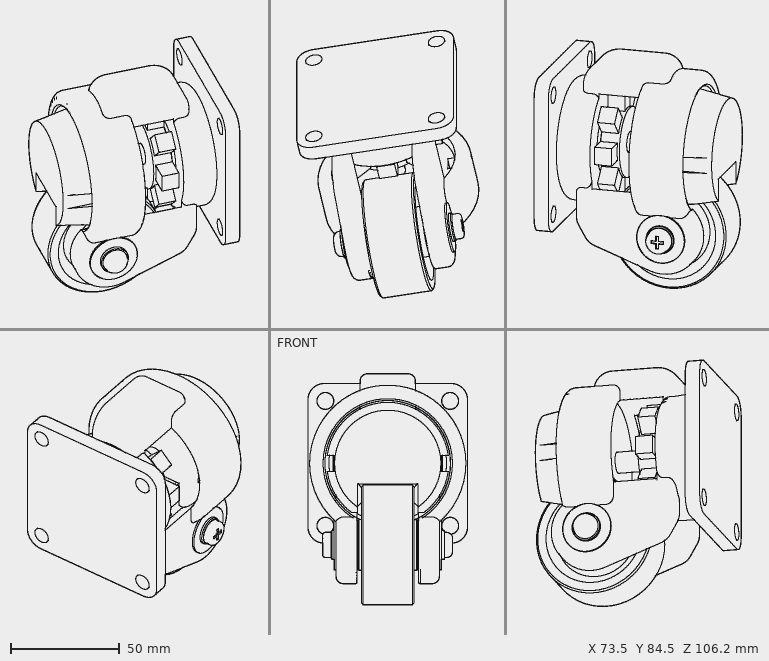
import cadquery as cq
import math


overall_height = 106.2

plate_size = 73.5
plate_thickness = 6.9
plate_corner_radius = 7.6
plate_hole_offset = 28.7
plate_hole_radius = 3.8
boss_radius = 15.8

edge_round = 3.4
small_round = 0.8
swivel_ring_radius = 28.8
swivel_ring_back = 7.4
swivel_ring_front = 23.9
swivel_ring_rounded_end = 24.3
foot_ring_radius = 35.9
foot_ring_back = 44.4
foot_ring_front = 69.3
housing_bore_radius = 28.9
frame_back = 15.5
bridge_half_width = 12.7
bridge_top = 41.2
bridge_front = 57.6
bridge_back_round = 12.4
bridge_front_round = 8.9
bridge_root = 21.2
arm_inside = 14.1
arm_outside = 23.8
arm_top = -12.7
arm_eye_radius = 17.8
arm_heel_round = 8.5
arm_lower_slope = 20.0
arm_heel_slope = 60.0
arm_heel_top = -33.3

nut_back = 25.6
nut_length = 9.2
nut_hub_radius = 16.5
tooth_count = 8
tooth_width = 8.4
tooth_length = 8.2
tooth_tip_radius = 25.0
rod_radius = 4.9
rod_end = 63.7

foot_back = 48.8
foot_front = 81.5
foot_cone_start = 61.6
foot_radius = 28.0
foot_front_radius = 24.4
foot_notch_half_width = 13.9
foot_notch_top = -9.5
foot_flat = -22.6
foot_slot_width = 7.3
foot_slot_floor_radius = 24.8

wheel_radius = 27.5
wheel_half_width = 12.1
wheel_edge_chamfer = 0.8
axle_depth = 57.0
axle_height = bridge_top + wheel_radius - overall_height
hub_half_width = 13.7
hub_radius = 11.7
hub_chamfer = 0.4
groove_floor_radius = 18.6
groove_mouth_radius = 22.7
groove_lip = 0.5
groove_depth = 4.7

axle_radius = 4.2
bushing_radius = 8.8
bushing_flange_radius = 11.5
bushing_flange_outside = 24.6
collar_radius = 6.6
collar_outside = 26.1
collar_chamfer = 0.5
head_radius = 5.8
screw_head_outside = 29.9
screw_head_round = 1.4
cap_outside = 29.8
cap_round = 2.9
axle_end = 27.6
cross_length = 5.9
cross_width = 1.3
cross_depth = 0.8


def at_depth(depth):
    """Workplane facing -Y, with local axes X and Z."""
    return cq.Workplane("XZ").workplane(offset=depth)


def disc(radius, back, front):
    return at_depth(back).circle(radius).extrude(front - back)


def block(x_range, depth_range, z_range):
    """Box given by its limits in X, depth and Z."""
    size = (x_range[1] - x_range[0], depth_range[1] - depth_range[0], z_range[1] - z_range[0])
    corner = (x_range[0], -depth_range[1], z_range[0])
    return cq.Workplane("XY").box(*size, centered=False).translate(corner)


def side_plane(x):
    """Workplane facing +X, with local axes Y and Z."""
    return cq.Workplane("YZ").workplane(offset=x)


def axle_disc(radius, x_start, x_end):
    return (
        side_plane(x_start)
        .center(-axle_depth, axle_height)
        .circle(radius)
        .extrude(x_end - x_start)
    )


def mirrored_in_x(shape):
    return shape.mirror("YZ")


def make_plate():
    plate = (
        at_depth(0)
        .rect(plate_size, plate_size)
        .extrude(plate_thickness)
        .edges("|Y")
        .fillet(plate_corner_radius)
    )
    hole_span = 2 * plate_hole_offset
    holes = (
        at_depth(0)
        .rect(hole_span, hole_span, forConstruction=True)
        .vertices()
        .circle(plate_hole_radius)
        .extrude(plate_thickness)
    )
    return plate.cut(holes).union(disc(boss_radius, plate_thickness, nut_back))


def make_rings():
    swivel_ring = disc(swivel_ring_radius, swivel_ring_back, swivel_ring_rounded_end)
    swivel_ring = swivel_ring.edges().fillet(edge_round)
    foot_ring = disc(foot_ring_radius, foot_ring_back, foot_ring_front)
    foot_ring = foot_ring.edges().fillet(edge_round)
    return swivel_ring, foot_ring


def make_bridge():
    """Arched bar over the gap between the two rings."""
    bridge = block(
        (-bridge_half_width, bridge_half_width),
        (frame_back, bridge_front),
        (bridge_root, bridge_top),
    )
    bridge = bridge.edges("|X and >Z and >Y").fillet(bridge_back_round)
    bridge = bridge.edges("|X and >Z and <Y").fillet(bridge_front_round)
    return bridge.edges("(<X or >X) and (not <Z)").fillet(edge_round)


def make_arm():
    """Fork arm on the +X side: a plate with a straight heel and a round eye at the axle."""
    slope = math.radians(arm_lower_slope)
    tangent_y = -axle_depth + arm_eye_radius * math.sin(slope)
    tangent_z = axle_height - arm_eye_radius * math.cos(slope)
    steepness = math.tan(math.radians(arm_heel_slope))
    shallowness = math.tan(slope)
    lower_line_height = tangent_z + shallowness * (-frame_back - tangent_y)
    heel_run = (arm_heel_top - lower_line_height) / (steepness - shallowness)
    heel_y = -frame_back - heel_run
    heel_z = arm_heel_top - steepness * heel_run
    arm = (
        side_plane(arm_inside)
        .moveTo(-frame_back, arm_top)
        .lineTo(-frame_back, arm_heel_top)
        .lineTo(heel_y, heel_z)
        .lineTo(tangent_y, tangent_z)
        .threePointArc(
            (-axle_depth - arm_eye_radius, axle_height),
            (-axle_depth, axle_height + arm_eye_radius),
        )
        .lineTo(-axle_depth, arm_top)
        .close()
        .extrude(arm_outside - arm_inside)
    )
    for y, z in ((-frame_back, arm_heel_top), (heel_y, heel_z)):
        corner = cq.selectors.NearestToPointSelector(((arm_inside + arm_outside) / 2, y, z))
        arm = arm.edges("|X").edges(corner).fillet(arm_heel_round)
    below_top = cq.selectors.BoxSelector((0, -106.2, -106.2), (53.1, 0, arm_top - small_round))
    arm = arm.faces(">X").edges(below_top).edges("not (|Z and <Y)").fillet(edge_round)
    return arm.faces("<X").edges(below_top).fillet(small_round)


def make_housing():
    swivel_ring, foot_ring = make_rings()
    arm = make_arm()
    housing = swivel_ring.union(foot_ring).union(make_bridge())
    housing = housing.union(arm).union(mirrored_in_x(arm))

    housing = housing.cut(disc(housing_bore_radius, swivel_ring_front, foot_ring_front))
    bore_mouth = at_depth(foot_ring_front).circle(housing_bore_radius + small_round)
    bore_mouth = bore_mouth.workplane(offset=-small_round).circle(housing_bore_radius).loft()
    housing = housing.cut(bore_mouth)

    wheel_gap = block(
        (-arm_inside, arm_inside),
        (swivel_ring_front, foot_ring_front),
        (-foot_ring_radius, 0),
    )
    housing = housing.cut(wheel_gap)
    housing = housing.cut(disc(boss_radius, swivel_ring_back, swivel_ring_front))
    housing = housing.cut(axle_disc(bushing_radius, -arm_outside, arm_outside))
    flange_seat = axle_disc(bushing_flange_radius, arm_outside, bushing_flange_outside)
    return housing.cut(flange_seat).cut(mirrored_in_x(flange_seat))


def make_nut():
    """Toothed nut, relieved where its lowest tooth passes the wheel."""
    nut = disc(nut_hub_radius, nut_back, nut_back + nut_length)
    tooth = block(
        (0, tooth_tip_radius),
        (nut_back, nut_back + tooth_length),
        (-tooth_width / 2, tooth_width / 2),
    )
    for i in range(tooth_count):
        nut = nut.union(tooth.rotate((0, 0, 0), (0, 1, 0), 360 / tooth_count * i))
    nut = nut.cut(disc(rod_radius, nut_back, nut_back + nut_length))
    return nut.cut(axle_disc(wheel_radius, -wheel_half_width, wheel_half_width))


def make_rod():
    return disc(rod_radius, nut_back, rod_end)


def make_foot():
    """Tapered foot with a wheel notch, a flat underside and a slot on either side."""
    foot = (
        cq.Workplane("XY")
        .moveTo(0, -foot_back)
        .lineTo(foot_radius, -foot_back)
        .lineTo(foot_radius, -foot_cone_start)
        .lineTo(foot_front_radius, -foot_front)
        .lineTo(0, -foot_front)
        .close()
        .revolve(360, (0, 0, 0), (0, 1, 0))
    )
    depth_range = (foot_back, foot_front)
    notch_range = (-foot_notch_half_width, foot_notch_half_width)
    foot = foot.cut(block(notch_range, depth_range, (-foot_radius, foot_notch_top)))
    foot = foot.cut(block((-foot_radius, foot_radius), depth_range, (-foot_radius, foot_flat)))
    slots = block(
        (-foot_radius, foot_radius),
        depth_range,
        (-foot_slot_width / 2, foot_slot_width / 2),
    )
    slots = slots.cut(disc(foot_slot_floor_radius, foot_back, foot_front))
    foot = foot.cut(slots)
    return foot.cut(disc(rod_radius, foot_back, rod_end))


def make_wheel():
    """Wheel with a proud hub and a tapered groove in each side."""
    groove_bottom = wheel_half_width - groove_depth
    right_half = [
        (hub_half_width, axle_radius),
        (hub_half_width, hub_radius - hub_chamfer),
        (hub_half_width - hub_chamfer, hub_radius),
        (groove_bottom, hub_radius),
        (groove_bottom, groove_floor_radius),
        (wheel_half_width - groove_lip, groove_mouth_radius - groove_lip),
        (wheel_half_width, groove_mouth_radius),
        (wheel_half_width, wheel_radius - wheel_edge_chamfer),
        (wheel_half_width - wheel_edge_chamfer, wheel_radius),
    ]
    left_half = [(-x, radius) for x, radius in reversed(right_half)]
    wheel = cq.Workplane("XY").polyline(right_half + left_half).close()
    wheel = wheel.revolve(360, (0, 0, 0), (1, 0, 0))
    return wheel.translate((0, -axle_depth, axle_height))


def make_bushing():
    """Flanged bushing in the +X fork arm, running from the wheel hub to the outside."""
    bushing = axle_disc(bushing_radius, hub_half_width, arm_outside)
    flange = axle_disc(bushing_flange_radius, arm_outside, bushing_flange_outside)
    return bushing.union(flange).cut(axle_disc(axle_radius, hub_half_width, bushing_flange_outside))


def make_screw():
    """Axle screw with a collared, cross-slotted head on the -X side."""
    head = axle_disc(head_radius, -screw_head_outside, -collar_outside)
    head = head.faces("<X").edges().fillet(screw_head_round)
    collar = axle_disc(collar_radius, -collar_outside, -bushing_flange_outside)
    collar = collar.faces("<X").edges().chamfer(collar_chamfer)
    shank = axle_disc(axle_radius, -bushing_flange_outside, axle_end)
    cross = (
        side_plane(-screw_head_outside)
        .center(-axle_depth, axle_height)
        .rect(cross_length, cross_width)
        .extrude(cross_depth)
    )
    cross_center = (0, -axle_depth, axle_height)
    cross_axis_end = (1, -axle_depth, axle_height)
    cross = cross.union(cross.rotate(cross_center, cross_axis_end, 90))
    return shank.union(collar).union(head).cut(cross)


def make_cap_nut():
    """Domed nut with a blind hole on the +X end of the screw."""
    cap = axle_disc(head_radius, collar_outside, cap_outside)
    cap = cap.faces(">X").edges().fillet(cap_round)
    collar = axle_disc(collar_radius, bushing_flange_outside, collar_outside)
    return collar.union(cap).cut(axle_disc(axle_radius, bushing_flange_outside, axle_end))


plate = make_plate()
housing = make_housing()
nut = make_nut()
rod = make_rod()
foot = make_foot()
wheel = make_wheel()
screw = make_screw()
cap_nut = make_cap_nut()

bushings = []
for turn in (0, 180):
    axle_center = (0, -axle_depth, 0)
    axle_center_above = (0, -axle_depth, 1)
    bushings.append(make_bushing().rotate(axle_center, axle_center_above, turn).val())

bodies = [plate, housing, nut, rod, foot, wheel, screw, cap_nut]
result = cq.Compound.makeCompound([body.val() for body in bodies] + bushings)